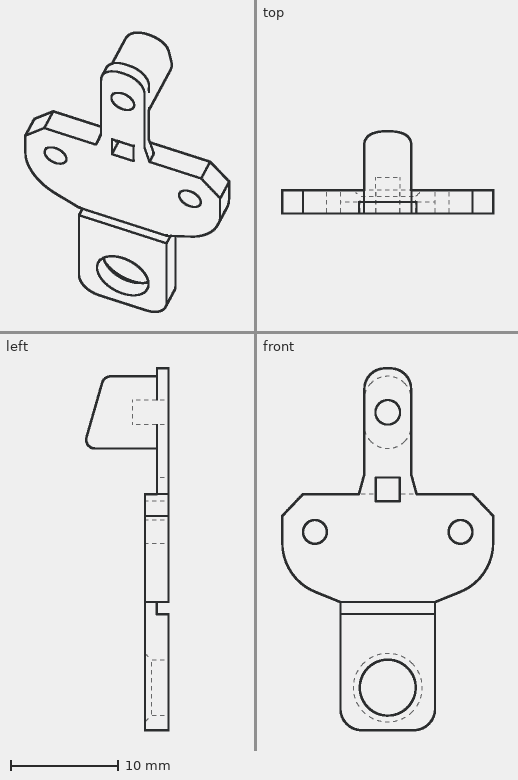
import cadquery as cq
import math

total_height = 33.8

plate_thickness = 2.2
plate_half_width = 9.853
plate_top = 22.05
plate_bottom = 11.95
shoulder_width = 1.93
shoulder_height = 2.03
side_radius = 4.97
side_arc_top = 17.5
side_arc_sweep = 70.0
mount_hole_diameter = 2.2
mount_hole_x = 6.8
mount_hole_z = 18.52

tab_width = 8.85
tab_corner_radius = 2.03
tab_hole_diameter = 5.2
tab_hole_z = 4.0
tab_hole_chamfer = 0.6
groove_height = 1.1
groove_depth = 1.08

arm_thickness = 1.08
arm_width = 4.4
arm_corner_radius = 1.95
neck_base_half_width = 2.7
neck_top = 23.9
window_size = 2.2
window_top = 23.6

pin_height = 6.75
pin_center_z = 29.68
pin_mid_length = 7.0
pin_end_angle = 16.0
pin_edge_radius = 0.8
pin_hole_diameter = 2.3
pin_hole_depth = 3.38


def front_plane():
    """Sketch plane on the front face: local x is X, local y is Z; extrude negative to go back."""
    return cq.Workplane("XZ")


def make_plate():
    center_x = plate_half_width - side_radius

    def arc_point(degrees):
        angle = math.radians(degrees)
        return (
            center_x + side_radius * math.cos(angle),
            side_arc_top - side_radius * math.sin(angle),
        )

    half = (
        front_plane()
        .moveTo(0, plate_top)
        .lineTo(plate_half_width - shoulder_width, plate_top)
        .lineTo(plate_half_width, plate_top - shoulder_height)
        .lineTo(plate_half_width, side_arc_top)
        .threePointArc(arc_point(side_arc_sweep / 2), arc_point(side_arc_sweep))
        .lineTo(tab_width / 2, plate_bottom)
        .lineTo(0, plate_bottom)
        .close()
        .extrude(-plate_thickness)
    )
    return half.union(half.mirror("YZ"))


def make_tab():
    tab = (
        front_plane()
        .center(0, plate_bottom / 2)
        .rect(tab_width, plate_bottom)
        .extrude(-plate_thickness)
        .edges("|Y and <Z")
        .fillet(tab_corner_radius)
    )
    groove = (
        front_plane()
        .center(0, plate_bottom - groove_height / 2)
        .rect(tab_width, groove_height)
        .extrude(-groove_depth)
    )
    return tab.cut(groove)


def make_arm():
    half_width = arm_width / 2
    return (
        front_plane()
        .polyline([
            (-neck_base_half_width, plate_top),
            (-half_width, neck_top),
            (-half_width, total_height),
            (half_width, total_height),
            (half_width, neck_top),
            (neck_base_half_width, plate_top),
        ])
        .close()
        .extrude(-arm_thickness)
        .edges("|Y and >Z")
        .fillet(arm_corner_radius)
    )


def make_pin():
    """Upright rounded bar with a sloped, rounded end that reaches furthest at the bottom."""
    half_height = pin_height / 2
    slope_rise = half_height * math.tan(math.radians(pin_end_angle))
    bar = (
        front_plane()
        .center(0, pin_center_z)
        .slot2D(pin_height, arm_width, 90)
        .extrude(-(pin_mid_length + slope_rise))
    )
    side_profile = (
        cq.Workplane("YZ")
        .polyline([
            (0, pin_center_z - half_height),
            (pin_mid_length + slope_rise, pin_center_z - half_height),
            (pin_mid_length - slope_rise, pin_center_z + half_height),
            (0, pin_center_z + half_height),
        ])
        .close()
        .extrude(arm_width, both=True)
    )
    return bar.intersect(side_profile).faces(">Y").edges().fillet(pin_edge_radius)


def round_hole(x, z, diameter, depth):
    return front_plane().center(x, z).circle(diameter / 2).extrude(-depth)


def make_tab_bevel():
    hole_radius = tab_hole_diameter / 2
    return (
        front_plane()
        .workplane(offset=-plate_thickness)
        .center(0, tab_hole_z)
        .circle(hole_radius + tab_hole_chamfer)
        .workplane(offset=tab_hole_chamfer)
        .circle(hole_radius)
        .loft(ruled=True)
    )


result = make_plate().union(make_tab()).union(make_arm()).union(make_pin())

for hole_x in (-mount_hole_x, mount_hole_x):
    result = result.cut(round_hole(hole_x, mount_hole_z, mount_hole_diameter, plate_thickness))
result = result.cut(round_hole(0, tab_hole_z, tab_hole_diameter, plate_thickness))
result = result.cut(make_tab_bevel())
result = result.cut(round_hole(0, pin_center_z, pin_hole_diameter, pin_hole_depth))

window = (
    front_plane()
    .center(0, window_top - window_size / 2)
    .rect(window_size, window_size)
    .extrude(-plate_thickness)
)
result = result.cut(window)